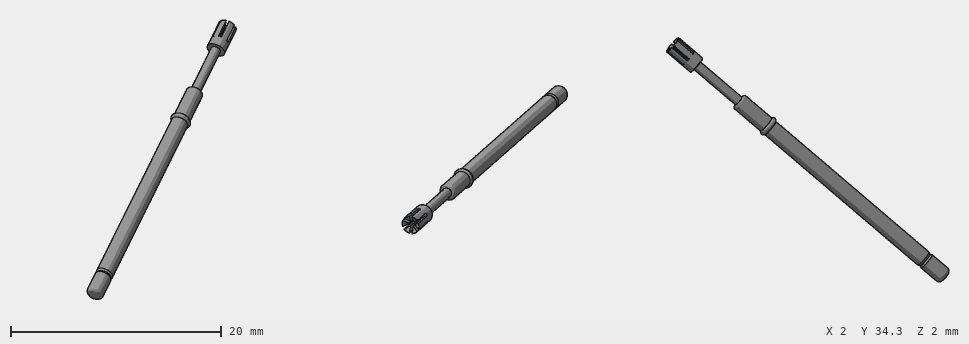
import cadquery as cq

length = 34.3
tip_y = length / 2
tail_y = -length / 2

crown_radius = 0.9
crown_length = 3.02
hollow_radius = 0.85
hollow_depth = 0.48
slot_depth = 2.0
slot_width = 0.27
slot_plane_count = 3

shaft_radius = 0.48
barrel_start = 8.35

barrel_radius = 0.82
mouth_round = 0.2
tail_round = 0.4

collar_radius = 1.0
collar_distance = 12.05
collar_width = 0.5

groove_distance = 31.75
groove_depth = 0.1
groove_width = 0.4


def rod(front_y, rod_length, radius):
    """Cylinder on the Y axis running from front_y towards the tail."""
    return cq.Workplane("XZ", origin=(0, front_y, 0)).circle(radius).extrude(rod_length)


def make_hollow():
    """Cone sunk into the tip face, so each prong is highest at its outer rim."""
    return (
        cq.Workplane("XY", origin=(0, tip_y, 0))
        .lineTo(hollow_radius, 0)
        .lineTo(0, -hollow_depth)
        .close()
        .revolve(360, (0, 0, 0), (0, 1, 0))
    )


def make_crown():
    crown = rod(tip_y, crown_length, crown_radius).cut(make_hollow())
    slot = cq.Workplane("XY").box(slot_width, slot_depth, 2 * crown_radius)
    slot = slot.translate((0, tip_y - slot_depth / 2, 0))
    for index in range(slot_plane_count):
        angle = index * 180 / slot_plane_count
        crown = crown.cut(slot.rotate((0, 0, 0), (0, 1, 0), angle))
    return crown


def make_collar():
    """Ring whose circular-arc section bulges outward from the barrel surface."""
    half_width = collar_width / 2
    return (
        cq.Workplane("XY", origin=(0, tip_y - collar_distance, 0))
        .moveTo(0, -half_width)
        .lineTo(barrel_radius, -half_width)
        .threePointArc((collar_radius, 0), (barrel_radius, half_width))
        .lineTo(0, half_width)
        .close()
        .revolve(360, (0, 0, 0), (0, 1, 0))
    )


def make_groove():
    """Ring of V-shaped section that cuts into the barrel surface."""
    half_width = groove_width / 2
    return (
        cq.Workplane("XY", origin=(0, tip_y - groove_distance, 0))
        .moveTo(barrel_radius, -half_width)
        .lineTo(barrel_radius - groove_depth, 0)
        .lineTo(barrel_radius, half_width)
        .close()
        .revolve(360, (0, 0, 0), (0, 1, 0))
    )


def make_barrel():
    barrel_front = tip_y - barrel_start
    barrel = rod(barrel_front, barrel_front - tail_y, barrel_radius)
    barrel = barrel.faces(">Y").edges().fillet(mouth_round)
    barrel = barrel.faces("<Y").edges().fillet(tail_round)
    return barrel.union(make_collar()).cut(make_groove())


shaft = rod(tip_y - crown_length, barrel_start - crown_length, shaft_radius)
result = make_crown().union(shaft).union(make_barrel())